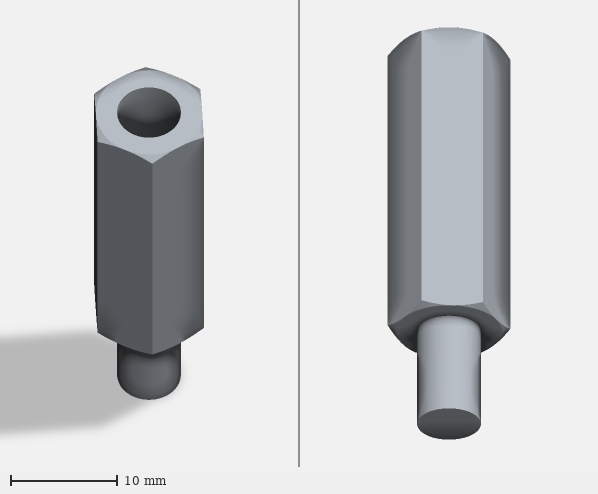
import cadquery as cq
import math

across_flats = 10.0
hex_length = 30.0
stud_diameter = 6.0
stud_length = 10.0
bore_diameter = stud_diameter
bore_depth = 18.0
chamfer_angle = 30.0

across_corners = across_flats / math.cos(math.radians(30))
face_radius = across_flats / 2
corner_radius = across_corners / 2
chamfer_height = (corner_radius - face_radius) * math.tan(math.radians(chamfer_angle))
hex_bottom = stud_length
hex_top = hex_bottom + hex_length


def make_chamfer_envelope():
    """Turned blank whose conical ends trim the hexagon corners."""
    profile = [
        (0, hex_bottom),
        (face_radius, hex_bottom),
        (corner_radius, hex_bottom + chamfer_height),
        (corner_radius, hex_top - chamfer_height),
        (face_radius, hex_top),
        (0, hex_top),
    ]
    return cq.Workplane("XZ").polyline(profile).close().revolve(360, (0, 0), (0, 1))


def make_spacer():
    """Hexagonal spacer with corners along Y and a blind bore from the top."""
    prism = (
        cq.Workplane("XY", origin=(0, 0, hex_bottom))
        .transformed(rotate=(0, 0, 90))
        .polygon(6, across_corners)
        .extrude(hex_length)
    )
    bore = (
        cq.Workplane("XY", origin=(0, 0, hex_top))
        .circle(bore_diameter / 2)
        .extrude(-bore_depth)
    )
    return prism.intersect(make_chamfer_envelope()).cut(bore)


def make_stud():
    """Plain round stud seated against the bottom face of the spacer."""
    return cq.Workplane("XY").circle(stud_diameter / 2).extrude(stud_length)


spacer = make_spacer()
stud = make_stud()
result = cq.Compound.makeCompound([*spacer.solids().vals(), stud.val()])